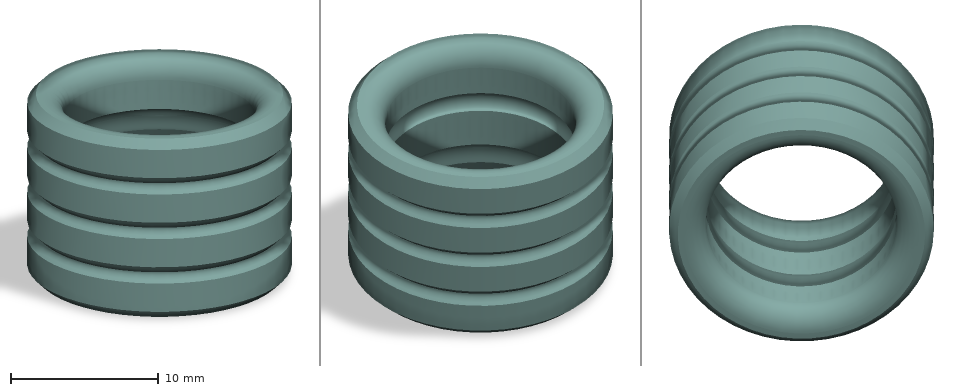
import cadquery as cq

outer_radius = 9.0
bore_radius = 6.5
height = 13.0

band_count = 4
band_height = height / band_count
chamfer = 0.6

mouth_radius = 1.5
groove_radius = 0.74
groove_offset = 2.15


def sleeve_profile():
    """Half section of the sleeve, as radius and height."""
    edge_radius = outer_radius - chamfer
    mouth_edge = bore_radius + mouth_radius
    mouth_mid = mouth_radius * (1 - 0.5**0.5)
    profile = cq.Workplane("XZ").moveTo(mouth_edge, 0).lineTo(edge_radius, 0)

    for band in range(band_count):
        bottom = band * band_height
        top = bottom + band_height
        profile = (
            profile.lineTo(outer_radius, bottom + chamfer)
            .lineTo(outer_radius, top - chamfer)
            .lineTo(edge_radius, top)
        )

    return (
        profile.lineTo(mouth_edge, height)
        .threePointArc(
            (bore_radius + mouth_mid, height - mouth_mid),
            (bore_radius, height - mouth_radius),
        )
        .lineTo(bore_radius, mouth_radius)
        .threePointArc((bore_radius + mouth_mid, mouth_mid), (mouth_edge, 0))
        .close()
    )


def groove_ring(center_height):
    """Ring whose outer half cuts a semicircular groove in the bore."""
    return cq.Workplane("XY").add(
        cq.Solid.makeTorus(bore_radius, groove_radius, cq.Vector(0, 0, center_height))
    )


result = sleeve_profile().revolve(360, (0, 0, 0), (0, 1, 0))
for side in (-1, 1):
    result = result.cut(groove_ring(height / 2 + side * groove_offset))